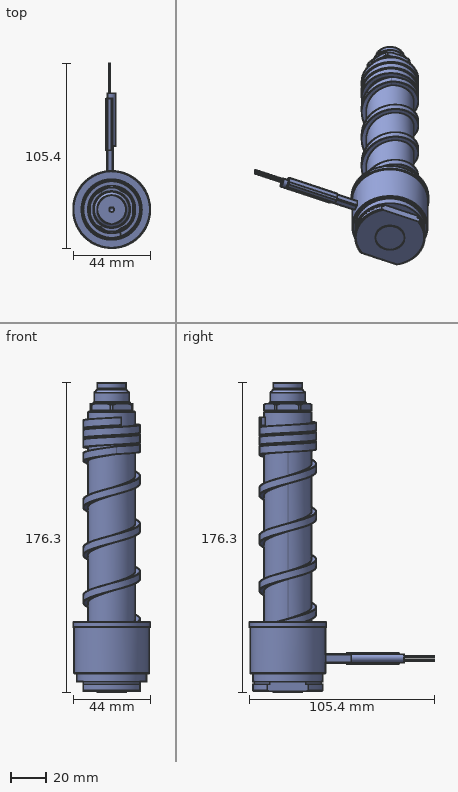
import cadquery as cq
import math

total_height = 176.3

foot_radius = 8.3
foot_top = 0.7
base_radius = 20.0
base_bevel = 0.5
base_groove_radius = 19.2
base_groove_bottom = 4.8
base_groove_top = 6.2
base_flat_half_width = 16.2
body_radius = 21.5
body_bottom = 10.5
body_bevel = 0.5
flange_radius = 22.0
flange_bottom = 37.0
flange_bevel = 0.4
housing_top = 40.2
bore_radius = 17.0
bore_bevel = 0.4
bore_floor = 30.0

tube_radius = 13.5
tube_top = 160.0
tube_bevel = 0.7
neck_radius = 11.6
hex_bottom = 160.6
hex_top = 164.5
hex_flat_width = 24.2
hex_corner_radius = 13.5
hex_bevel_inner_radius = 12.5
hex_bevel_angle = 35.0
collar_radius = 10.5
collar_bevel = 0.5
collar_top = 165.4
shoulder_radius = collar_radius - collar_bevel
shoulder_top = 170.7
head_radius = 8.3
head_bottom = 173.3
head_groove_radius = 8.0
head_groove_bottom = 172.5
center_hole_radius = 1.4

spring_outer_radius = 16.2
spring_overlap = 0.2
spring_wire_height = 4.5
spring_wire_bevel = 0.2
spring_top_angle = -70.0
spring_top_middle = 154.5
closed_turns = 3.03
closed_pitch = 5.5
transition_turns = 0.33
transition_pitch = 14.1
open_pitch = 27.2

cable_z = 19.4
cable_left = -2.8
cable_width = 3.7
cable_height = 5.3
cable_bevel = 0.5
cable_end = 63.5
clip_left = -3.3
clip_width = 4.0
clip_height = 6.3
clip_bevel = 1.0
clip_start = 33.7
clip_end = 63.1
sleeve_x = 0.0
sleeve_radius = 2.5
sleeve_start = 36.1
sleeve_end = 66.3
wire_x = -1.2
wire_radius = 0.5
wire_spacing = 2.1
wire_end = 83.4


def make_housing():
    """Turned housing with an open bore and two flats on its base."""
    base = (
        cq.Workplane("XZ")
        .moveTo(0, foot_top)
        .lineTo(base_radius - base_bevel, foot_top)
        .lineTo(base_radius, foot_top + base_bevel)
        .lineTo(base_radius, base_groove_bottom)
        .lineTo(base_groove_radius, base_groove_bottom)
        .lineTo(base_groove_radius, base_groove_top)
        .lineTo(0, base_groove_top)
        .close()
        .revolve(360, (0, 0, 0), (0, 1, 0))
    )
    flats = cq.Workplane("XY").box(
        2 * base_flat_half_width, 2 * base_radius, base_groove_top, centered=(True, True, False)
    )
    foot = cq.Workplane("XY").circle(foot_radius).extrude(foot_top)
    body = (
        cq.Workplane("XZ")
        .moveTo(0, base_groove_top)
        .lineTo(base_radius, base_groove_top)
        .lineTo(base_radius, body_bottom)
        .lineTo(body_radius - body_bevel, body_bottom)
        .lineTo(body_radius, body_bottom + body_bevel)
        .lineTo(body_radius, flange_bottom)
        .lineTo(flange_radius - flange_bevel, flange_bottom)
        .lineTo(flange_radius, flange_bottom + flange_bevel)
        .lineTo(flange_radius, housing_top - flange_bevel)
        .lineTo(flange_radius - flange_bevel, housing_top)
        .lineTo(bore_radius + bore_bevel, housing_top)
        .lineTo(bore_radius, housing_top - bore_bevel)
        .lineTo(bore_radius, bore_floor)
        .lineTo(0, bore_floor)
        .close()
        .revolve(360, (0, 0, 0), (0, 1, 0))
    )
    return body.union(base.intersect(flats)).union(foot)


def make_tube_and_head():
    """Tube with the neck and stepped head above it, and a conical centre mark in the end."""
    shoulder_cone_rise = head_groove_bottom - shoulder_top
    return (
        cq.Workplane("XZ")
        .moveTo(0, bore_floor)
        .lineTo(tube_radius, bore_floor)
        .lineTo(tube_radius, tube_top - tube_bevel)
        .lineTo(tube_radius - tube_bevel, tube_top)
        .lineTo(neck_radius, tube_top)
        .lineTo(neck_radius, hex_bottom)
        .lineTo(collar_radius, hex_bottom)
        .lineTo(collar_radius, collar_top - collar_bevel)
        .lineTo(shoulder_radius, collar_top)
        .lineTo(shoulder_radius, shoulder_top)
        .lineTo(shoulder_radius - shoulder_cone_rise, head_groove_bottom)
        .lineTo(head_groove_radius, head_groove_bottom)
        .lineTo(head_groove_radius, head_bottom)
        .lineTo(head_radius, head_bottom)
        .lineTo(head_radius, total_height)
        .lineTo(center_hole_radius, total_height)
        .lineTo(0, total_height - center_hole_radius)
        .close()
        .revolve(360, (0, 0, 0), (0, 1, 0))
    )


def make_hexagon():
    """Hexagon with flats facing +X and -X, its corners turned off and its top bevelled."""
    prism = (
        cq.Workplane("XY", origin=(0, 0, hex_bottom))
        .polygon(6, hex_flat_width, circumscribed=True)
        .extrude(hex_top - hex_bottom)
    )
    bevel_drop = (hex_corner_radius - hex_bevel_inner_radius) * math.tan(math.radians(hex_bevel_angle))
    turned_blank = (
        cq.Workplane("XZ")
        .moveTo(0, hex_bottom)
        .lineTo(hex_corner_radius, hex_bottom)
        .lineTo(hex_corner_radius, hex_top - bevel_drop)
        .lineTo(hex_bevel_inner_radius, hex_top)
        .lineTo(0, hex_top)
        .close()
        .revolve(360, (0, 0, 0), (0, 1, 0))
    )
    return prism.intersect(turned_blank)


def make_coil(top_angle, top_middle, pitch, turns):
    """One stretch of the spring, ending at the given angle and mid-wire height."""
    rise = pitch * turns
    inner_radius = tube_radius - spring_overlap
    path = cq.Wire.makeHelix(pitch, rise, inner_radius)
    half_height = spring_wire_height / 2
    bevel_radius = spring_outer_radius - spring_wire_bevel
    coil = (
        cq.Workplane("XZ")
        .moveTo(inner_radius, -half_height)
        .lineTo(bevel_radius, -half_height)
        .lineTo(spring_outer_radius, spring_wire_bevel - half_height)
        .lineTo(spring_outer_radius, half_height - spring_wire_bevel)
        .lineTo(bevel_radius, half_height)
        .lineTo(inner_radius, half_height)
        .close()
        .sweep(cq.Workplane(obj=path), isFrenet=True)
    )
    bottom_angle = top_angle - 360 * turns
    return coil.rotate((0, 0, 0), (0, 0, 1), bottom_angle).translate((0, 0, top_middle - rise))


def make_spring_stretches():
    """Closed coils at the top, a short transition, then open coils down into the bore floor."""
    open_top = spring_top_middle - closed_pitch * closed_turns - transition_pitch * transition_turns
    open_bottom = bore_floor - spring_wire_height / 2
    stretches = [
        (closed_pitch, closed_turns),
        (transition_pitch, transition_turns),
        (open_pitch, (open_top - open_bottom) / open_pitch),
    ]
    angle = spring_top_angle
    middle = spring_top_middle
    coils = []
    for pitch, turns in stretches:
        coils.append(make_coil(angle, middle, pitch, turns))
        angle -= 360 * turns
        middle -= pitch * turns
    return coils


def bar_toward_y(left, width, height, start, end):
    """Rectangular bar along Y, centred on the cable height."""
    return cq.Workplane("XY", origin=(left, start, cable_z)).box(
        width, end - start, height, centered=(False, False, True)
    )


def round_bar_toward_y(x, z, radius, start, end):
    """Round bar along Y, centred on the given X and Z."""
    return cq.Workplane("XZ", origin=(x, start, z)).circle(radius).extrude(start - end)


def make_cable():
    """Flat cable, bevelled clip, round sleeve beside it and two bare wires."""
    cable_start = (bore_radius + body_radius) / 2
    cable = bar_toward_y(cable_left, cable_width, cable_height, cable_start, cable_end)
    clip = bar_toward_y(clip_left, clip_width, clip_height, clip_start, clip_end)
    sleeve = round_bar_toward_y(sleeve_x, cable_z, sleeve_radius, sleeve_start, sleeve_end)
    cable = cable.edges("|Y").chamfer(cable_bevel)
    cable = cable.union(clip.edges("|Y").chamfer(clip_bevel)).union(sleeve)
    for side in (-1, 1):
        wire_z = cable_z + side * wire_spacing / 2
        cable = cable.union(round_bar_toward_y(wire_x, wire_z, wire_radius, clip_end, wire_end))
    return cable


result = make_housing().union(make_tube_and_head()).union(make_hexagon())
for coil in make_spring_stretches():
    result = result.union(coil)
result = result.union(make_cable())